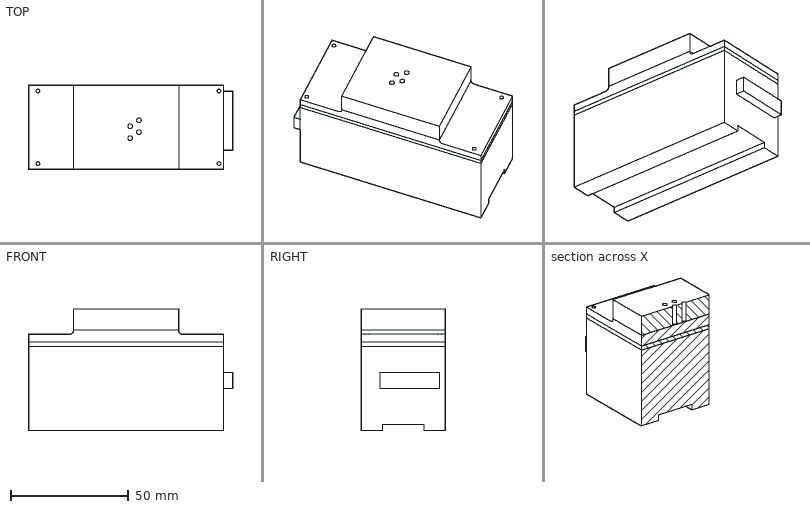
import cadquery as cq

overall_length = 87.25
depth = 36.0
overall_height = 52.0

base_length = 83.2
base_height = 36.0
channel_width = 17.7
channel_height = 2.6

spacer_thickness = 1.9
spacer_top = base_height + spacer_thickness

cover_plate_thickness = 3.2
raised_length = 45.0
raised_height = 1.8
fillet_radius = 1.6
cover_plate_top = spacer_top + cover_plate_thickness
cover_top = cover_plate_top + raised_height

screw_hole_diameter = 1.6
screw_inset_left = 4.0
screw_inset_right = 1.9
screw_inset_y = 2.5

top_block_height = overall_height - cover_top
indicator_hole_diameter = 2.0
indicator_pitch_y = 5.1
indicator_stagger_y = indicator_pitch_y / 2
indicator_column_spacing = 3.75
first_indicator_x = 1.75
first_indicator_y = -4.6
indicator_columns = 2
indicator_rows = 2

connector_length = overall_length - base_length
connector_width = 25.3
connector_height = 6.9
connector_bottom = 18.0
connector_edge_inset = 2.6


def block(length, width, height, bottom):
    """Box centred on the Z axis, standing on the height `bottom`."""
    return cq.Workplane("XY", origin=(0, 0, bottom)).box(length, width, height, centered=(True, True, False))


def make_base():
    channel = block(base_length, channel_width, channel_height, 0)
    return block(base_length, depth, base_height, 0).cut(channel)


def make_spacer():
    return block(base_length, depth, spacer_thickness, base_height)


def make_cover():
    plate = block(base_length, depth, cover_plate_thickness, spacer_top)
    raised_centre = block(raised_length, depth, raised_height, cover_plate_top)
    cover = plate.union(raised_centre)

    reach_x = raised_length / 2 + fillet_radius / 2
    reach_z = fillet_radius / 2
    inner_corners = cq.selectors.BoxSelector(
        (-reach_x, -depth, cover_plate_top - reach_z),
        (reach_x, depth, cover_plate_top + reach_z),
    )
    cover = cover.edges("|Y").edges(inner_corners).fillet(fillet_radius)

    left_x = -base_length / 2 + screw_inset_left
    right_x = base_length / 2 - screw_inset_right
    screw_y = depth / 2 - screw_inset_y
    screw_points = [(x, y) for x in (left_x, right_x) for y in (-screw_y, screw_y)]
    screw_holes = (
        cq.Workplane("XY", origin=(0, 0, spacer_top))
        .pushPoints(screw_points)
        .circle(screw_hole_diameter / 2)
        .extrude(cover_plate_thickness)
    )
    return cover.cut(screw_holes)


def make_top_block():
    indicator_points = [
        (
            first_indicator_x + column * indicator_column_spacing,
            first_indicator_y + column * indicator_stagger_y + row * indicator_pitch_y,
        )
        for column in range(indicator_columns)
        for row in range(indicator_rows)
    ]
    indicator_holes = (
        cq.Workplane("XY", origin=(0, 0, cover_top))
        .pushPoints(indicator_points)
        .circle(indicator_hole_diameter / 2)
        .extrude(top_block_height)
    )
    return block(raised_length, depth, top_block_height, cover_top).cut(indicator_holes)


def make_connector():
    centre_x = (base_length + connector_length) / 2
    centre_y = depth / 2 - connector_edge_inset - connector_width / 2
    connector = block(connector_length, connector_width, connector_height, connector_bottom)
    return connector.translate((centre_x, centre_y, 0))


base = make_base()
spacer = make_spacer()
cover = make_cover()
top_block = make_top_block()
connector = make_connector()

bodies = [base, spacer, cover, top_block, connector]
result = cq.Compound.makeCompound([body.solids().val() for body in bodies])